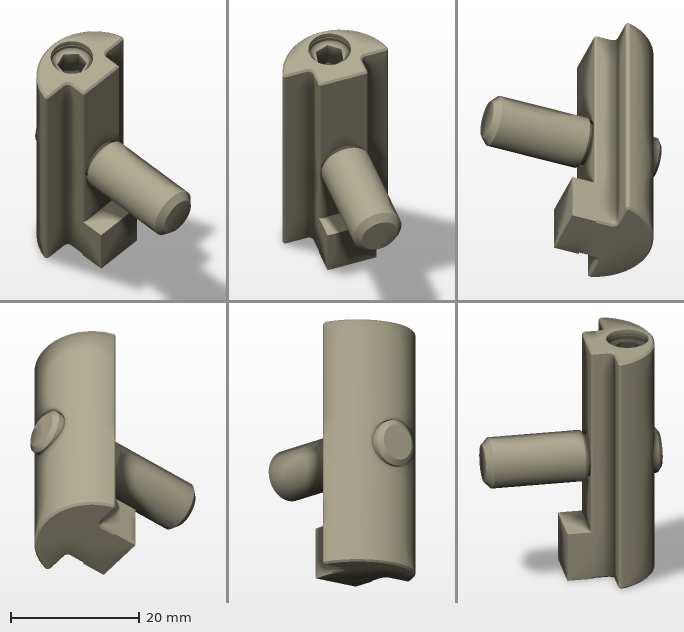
import cadquery as cq
import math

HEIGHT = 39.0
BACK_RADIUS = 9.0
WING_FACE_X = 7.15
TONGUE_FACE_X = 10.65
TONGUE_WIDTH = 8.07
NECK_FILLET = 0.78
TONGUE_FILLET = 0.35
WING_FILLET = 0.45
END_CHAMFER = 0.3

LUG_FACE_X = 14.4
LUG_HEIGHT = 8.05
LUG_ROOT_X = 10.35

BOLT_Z = HEIGHT / 2
BOLT_HEAD_X = -0.95
BOLT_TIP_X = 27.05
PIN_RADIUS = 3.63
PIN_CHAMFER = 0.62
PIN_CHAMFER_RADIUS = 2.8
NECK_RADIUS = 3.28
SHANK_RADIUS = 4.0
SHANK_CHAMFER = SHANK_RADIUS - NECK_RADIUS
TIP_CHAMFER = 1.05
PIN_END_X = 8.97
SHANK_START_X = 10.7
BORE_RADIUS = 3.75

SCREW_X = 4.15
SCREW_RADIUS = 3.3
SCREW_RECESS = 1.55
GROOVE_TOP_DEPTH = 0.6
GROOVE_WIDTH = 0.4
GROOVE_DEPTH = 0.08
SOCKET_FLATS = 4.0
SOCKET_DEPTH = 3.9
SOCKET_TURN = 48.0
SOCKET_CONE_HEIGHT = 1.17


def x_cylinder(radius, start_x, end_x):
    """Solid cylinder on the bolt axis between two X positions."""
    return cq.Workplane("YZ", origin=(start_x, 0, BOLT_Z)).circle(radius).extrude(end_x - start_x)


def make_housing():
    wing_y = math.sqrt(BACK_RADIUS**2 - (BACK_RADIUS - WING_FACE_X) ** 2)
    half_tongue = TONGUE_WIDTH / 2
    body = (
        cq.Workplane("XY")
        .moveTo(WING_FACE_X, wing_y)
        .threePointArc((0, 0), (WING_FACE_X, -wing_y))
        .lineTo(WING_FACE_X, -half_tongue)
        .lineTo(TONGUE_FACE_X, -half_tongue)
        .lineTo(TONGUE_FACE_X, half_tongue)
        .lineTo(WING_FACE_X, half_tongue)
        .close()
        .extrude(HEIGHT)
    )

    def upright_edges(x, half_width):
        near_x = cq.selectors.BoxSelector((x - 0.4, -half_width - 0.4, 0), (x + 0.4, half_width + 0.4, HEIGHT))
        return body.edges("|Z").edges(near_x)

    body = upright_edges(TONGUE_FACE_X, half_tongue).fillet(TONGUE_FILLET)
    body = upright_edges(WING_FACE_X, half_tongue).fillet(NECK_FILLET)
    body = upright_edges(WING_FACE_X, wing_y).fillet(WING_FILLET)
    body = body.faces("<Z or >Z").chamfer(END_CHAMFER)

    lug = cq.Workplane("XY").box(
        LUG_FACE_X - LUG_ROOT_X, TONGUE_WIDTH, LUG_HEIGHT, centered=(False, True, False)
    )
    body = body.union(lug.translate((LUG_ROOT_X, 0, 0)))

    cross_bore = x_cylinder(BORE_RADIUS, BOLT_HEAD_X, TONGUE_FACE_X)
    screw_hole = cq.Workplane("XY", origin=(SCREW_X, 0, BOLT_Z)).circle(SCREW_RADIUS).extrude(HEIGHT - BOLT_Z)
    groove = (
        cq.Workplane("XY", origin=(SCREW_X, 0, HEIGHT - GROOVE_TOP_DEPTH - GROOVE_WIDTH))
        .circle(SCREW_RADIUS + GROOVE_DEPTH)
        .extrude(GROOVE_WIDTH)
    )
    return body.cut(cross_bore).cut(screw_hole).cut(groove)


def make_cross_bolt():
    """Pin, relieved neck and chamfered shank turned about the X axis."""
    tip_radius = SHANK_RADIUS - TIP_CHAMFER
    return (
        cq.Workplane("XZ", origin=(0, 0, BOLT_Z))
        .moveTo(BOLT_HEAD_X, 0)
        .lineTo(BOLT_HEAD_X, PIN_CHAMFER_RADIUS)
        .lineTo(BOLT_HEAD_X + PIN_CHAMFER, PIN_RADIUS)
        .lineTo(PIN_END_X, PIN_RADIUS)
        .lineTo(PIN_END_X, NECK_RADIUS)
        .lineTo(SHANK_START_X, NECK_RADIUS)
        .lineTo(SHANK_START_X + SHANK_CHAMFER, SHANK_RADIUS)
        .lineTo(BOLT_TIP_X - TIP_CHAMFER, SHANK_RADIUS)
        .lineTo(BOLT_TIP_X, tip_radius)
        .lineTo(BOLT_TIP_X, 0)
        .close()
        .revolve(360, (0, 0, 0), (1, 0, 0))
    )


def make_set_screw():
    bottom_z = BOLT_Z + PIN_RADIUS
    top_z = HEIGHT - SCREW_RECESS
    socket_floor_z = top_z - SOCKET_DEPTH
    socket_diameter = SOCKET_FLATS / math.cos(math.pi / 6)

    body = cq.Workplane("XY").circle(SCREW_RADIUS).extrude(top_z - bottom_z).translate((0, 0, bottom_z))
    socket = cq.Workplane("XY").polygon(6, socket_diameter).extrude(SOCKET_DEPTH)
    socket = socket.rotate((0, 0, 0), (0, 0, 1), SOCKET_TURN).translate((0, 0, socket_floor_z))
    floor_cone = cq.Workplane(
        cq.Solid.makeCone(0, socket_diameter / 2, SOCKET_CONE_HEIGHT)
    ).translate((0, 0, socket_floor_z - SOCKET_CONE_HEIGHT))
    floor_cone = floor_cone.intersect(socket.translate((0, 0, -SOCKET_DEPTH)))
    return body.cut(socket).cut(floor_cone).translate((SCREW_X, 0, 0))


housing = make_housing()
cross_bolt = make_cross_bolt()
set_screw = make_set_screw()

result = cq.Compound.makeCompound([housing.solids().val(), cross_bolt.val(), set_screw.solids().val()])